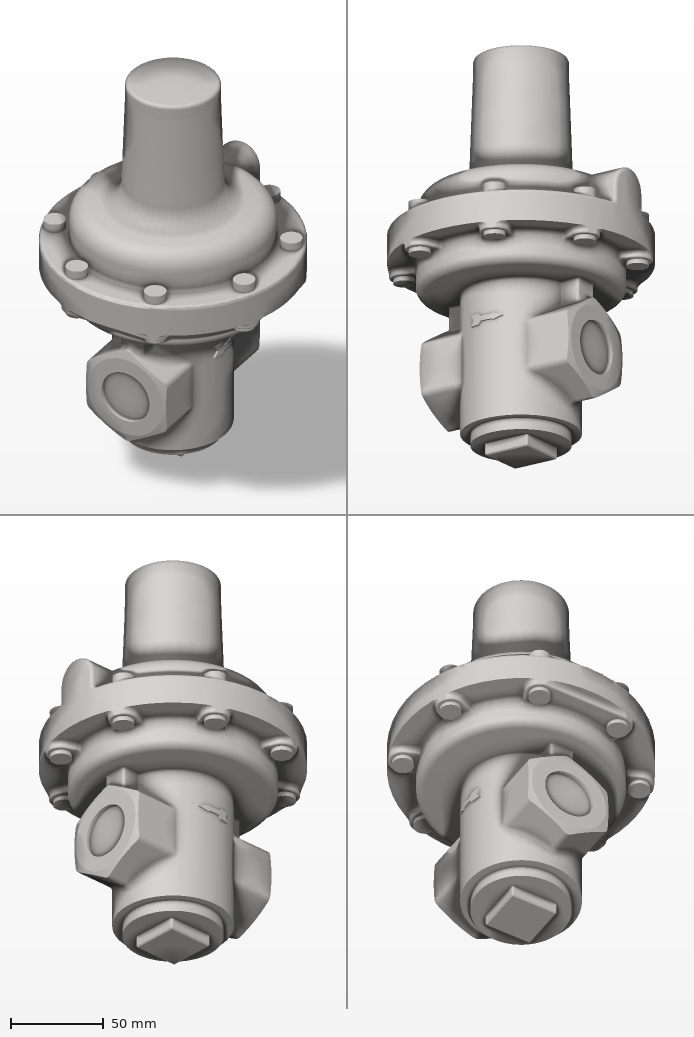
import cadquery as cq
import math


margin = 0.05

body_radius = 33.0
collar_radius = 27.5
plug_width = 28.3
plug_corner = 1.0
plug_chamfer = 0.7
collar_base_z = 6.6
body_base_z = 13.0
bowl_base_z = 92.5
underside_drop = 1.1
underside_z = bowl_base_z - underside_drop
bowl_root_fillet = 1.0

bowl_radius = 57.0
bowl_fillet = 4.5
flange_radius = 145.0 / 2
flange_base_z = 110.5
split_z = 118.8
flange_top_z = 128.6
casting_fillet = 2.0

dome_radius = 56.2
dome_arc_base_z = 140.3
dome_arc_radius = 11.5
dome_slope = math.radians(9)
shoulder_radius = 37.7
throat_radius = 27.9
throat_z = 165.0
tower_top_radius = 51.9 / 2
cap_base_z = 218.7
cap_corner_z = 225.3
crown_edge_radius = 24.0
crown_edge_z = 227.4
crown_z = 228.5

vent_radius = 12.5
vent_z = 138.7

bolt_count = 8
bolt_radius = 12.0 / 2
bolt_circle_radius = 64.7
bolt_base_z = 104.2
bolt_top_z = 134.0
bolt_spacing = 360 / bolt_count
first_bolt_angle = bolt_spacing / 2
pad_radius = 8.2
pad_base_z = 106.7
pad_rim_fillet = 1.0
pad_root_fillet = 1.8
blank_radius = flange_radius + 2 * pad_root_fillet
pad_web_y = bolt_circle_radius * math.cos(math.radians(first_bolt_angle)) + pad_radius
bolt_x = bolt_circle_radius * math.sin(math.radians(first_bolt_angle))

port_z = 53.0
port_across_flats = 50.5
port_corner_radius = port_across_flats / math.sqrt(3)
port_half_length = 49.8
port_corner_fillet = 3.9
port_face_radius = 23.5
port_root_fillet = 2.5
port_chamfer_slope = 0.3
port_hole_radius = 15.0
port_hole_depth = 2.7

rib_half_width = 7.3
rib_reach = 43.2
rib_corner_fillet = 1.4
rib_root_fillet = 1.5
rib_foot_z = port_z + port_corner_radius
rib_side_z = rib_foot_z - rib_half_width / math.sqrt(3)

arrow_z = 70.4
arrow_height = 1.25
arrow_radius = body_radius + arrow_height
arrow_tip = 10.7
arrow_head_back = 4.8
arrow_head_half = 2.0
arrow_shaft_half = 1.4
arrow_shaft_end = -2.7
arrow_tail_start = -4.0
arrow_tail_half = 3.2
arrow_tail_end = -10.0
arrow_notch = -7.8


def disc(radius, base_z, top_z):
    """Solid cylinder on the Z axis."""
    return cq.Workplane("XY").workplane(offset=base_z).circle(radius).extrude(top_z - base_z)


def round_edges(solid, radius, is_wanted):
    """Fillet every edge that satisfies the test."""
    edges = [edge for edge in solid.edges().vals() if is_wanted(edge)]
    return solid.newObject(edges).fillet(radius)


def lies_on_cylinder(edge, radius):
    """True if the ends and middle of an edge keep this distance from the Z axis."""
    points = edge.positions([0, 0.5, 1])
    return all(abs(math.hypot(p.x, p.y) - radius) < margin for p in points)


def lies_between(edge, low_z, high_z):
    """True if an edge stays within a height range."""
    box = edge.BoundingBox()
    return box.zmin > low_z - margin and box.zmax < high_z + margin


def make_housing():
    """Revolve the upper flange, dome and tower, and add the vent boss."""
    arc_sweep = math.pi / 2 - dome_slope
    arc_centre_radius = dome_radius - dome_arc_radius
    half_sweep = arc_sweep / 2
    arc_mid = (
        arc_centre_radius + dome_arc_radius * math.cos(half_sweep),
        dome_arc_base_z + dome_arc_radius * math.sin(half_sweep),
    )
    arc_end = (
        arc_centre_radius + dome_arc_radius * math.cos(arc_sweep),
        dome_arc_base_z + dome_arc_radius * math.sin(arc_sweep),
    )
    shoulder_z = arc_end[1] + (arc_end[0] - shoulder_radius) * math.tan(dome_slope)
    profile = (
        cq.Workplane("XZ")
        .moveTo(0, split_z)
        .lineTo(flange_radius, split_z)
        .lineTo(flange_radius, flange_top_z)
        .lineTo(dome_radius, flange_top_z)
        .lineTo(dome_radius, dome_arc_base_z)
        .threePointArc(arc_mid, arc_end)
        .lineTo(shoulder_radius, shoulder_z)
        .tangentArcPoint((throat_radius, throat_z), relative=False)
        .lineTo(tower_top_radius, cap_base_z)
        .lineTo(tower_top_radius, cap_corner_z)
        .tangentArcPoint((crown_edge_radius, crown_edge_z), relative=False)
        .lineTo(0, crown_z)
        .close()
    )
    housing = profile.revolve(360, (0, 0, 0), (0, 1, 0))

    vent = (
        cq.Workplane("XZ")
        .moveTo(-vent_radius, split_z)
        .lineTo(-vent_radius, vent_z)
        .threePointArc((0, vent_z + vent_radius), (vent_radius, vent_z))
        .lineTo(vent_radius, split_z)
        .close()
        .extrude(-flange_radius)
        .intersect(disc(flange_radius, split_z, crown_z))
    )
    vent = vent.cut(disc(shoulder_radius, split_z, crown_z))
    housing = housing.union(vent)

    def needs_rounding(edge):
        box = edge.BoundingBox()
        along_y = box.xlen < margin and box.zlen < margin
        on_flange_top = lies_between(edge, flange_top_z, flange_top_z)
        on_vent = lies_between(edge, flange_top_z, vent_z + vent_radius) and box.ymin > shoulder_radius
        return on_flange_top or on_vent and not along_y

    return round_edges(housing, casting_fillet, needs_rounding)


def make_bowl():
    """Diaphragm bowl with the bolt pads under the flange."""
    bowl = disc(bowl_radius, bowl_base_z, flange_base_z).faces("<Z").edges().fillet(bowl_fillet)
    bowl = bowl.union(disc(blank_radius, flange_base_z, split_z))
    underside = (
        cq.Workplane("XZ")
        .moveTo(0, underside_z)
        .lineTo(collar_radius, underside_z)
        .lineTo(bowl_radius - bowl_fillet, bowl_base_z)
        .lineTo(0, bowl_base_z)
        .close()
        .revolve(360, (0, 0, 0), (0, 1, 0))
    )
    bowl = bowl.union(underside)
    pad_height = flange_base_z - pad_base_z
    blank = cq.Workplane("XY").workplane(offset=pad_base_z)
    pads = blank.center(0, -pad_web_y / 2).rect(2 * bolt_x, pad_web_y).extrude(pad_height)
    for index in range(bolt_count):
        angle = first_bolt_angle + index * bolt_spacing
        arm = blank.center(bolt_circle_radius / 2, 0).rect(bolt_circle_radius, 2 * pad_radius)
        pad = arm.extrude(pad_height).union(
            blank.center(bolt_circle_radius, 0).circle(pad_radius).extrude(pad_height)
        )
        pads = pads.union(pad.rotate((0, 0, 0), (0, 0, 1), angle))
    bowl = bowl.union(pads)

    def is_pad_rim(edge):
        return lies_between(edge, pad_base_z, pad_base_z) and not lies_on_cylinder(edge, bowl_radius)

    def is_root(edge):
        on_wall = lies_on_cylinder(edge, bowl_radius)
        on_rim = lies_on_cylinder(edge, blank_radius)
        at_flange = lies_between(edge, flange_base_z, flange_base_z)
        return lies_between(edge, pad_base_z, flange_base_z) and (on_wall or at_flange and not on_rim)

    bowl = round_edges(bowl, pad_rim_fillet, is_pad_rim)
    bowl = round_edges(bowl, pad_root_fillet, is_root)
    return bowl.intersect(disc(flange_radius, underside_z, split_z))


def make_port(side):
    """Hexagonal port on one Y side, with its rib up to the bowl."""
    port = (
        cq.Workplane("XZ")
        .center(0, port_z)
        .transformed(rotate=(0, 0, 90))
        .polygon(6, 2 * port_corner_radius)
        .extrude(-port_half_length)
        .edges("|Y")
        .fillet(port_corner_fillet)
    )
    chamfer_drop = (port_corner_radius - port_face_radius) * port_chamfer_slope
    envelope = (
        cq.Workplane("XY")
        .moveTo(0, 0)
        .lineTo(port_corner_radius, 0)
        .lineTo(port_corner_radius, port_half_length - chamfer_drop)
        .lineTo(port_face_radius, port_half_length)
        .lineTo(0, port_half_length)
        .close()
        .revolve(360, (0, 0, 0), (0, 1, 0))
        .translate((0, 0, port_z))
    )
    port = port.intersect(envelope)
    rib = (
        cq.Workplane("XY")
        .workplane(offset=port_z)
        .center(0, rib_reach / 2)
        .rect(2 * rib_half_width, rib_reach)
        .extrude(bowl_base_z - port_z)
        .edges("|Z and >Y")
        .fillet(rib_corner_fillet)
    )
    port = port.union(rib)
    return port if side > 0 else port.mirror("XZ")


def make_port_hole(side):
    """Shallow round recess in a port face."""
    base_y = port_half_length - port_hole_depth if side > 0 else -port_half_length
    hole = cq.Workplane("XZ").center(0, port_z).circle(port_hole_radius).extrude(-port_hole_depth)
    return hole.translate((0, base_y, 0))


def make_arrows():
    """Flow arrows pointing to +Y, raised on both X sides of the body."""
    upper_half = [
        (arrow_tip, 0),
        (arrow_head_back, arrow_head_half),
        (arrow_head_back, arrow_shaft_half),
        (arrow_shaft_end, arrow_shaft_half),
        (arrow_tail_start, arrow_tail_half),
        (arrow_tail_end, arrow_tail_half),
        (arrow_notch, 0),
    ]
    lower_half = [(y, -z) for y, z in reversed(upper_half[1:-1])]
    outline = cq.Workplane("YZ").polyline(upper_half + lower_half).close()
    bars = outline.extrude(arrow_radius, both=True).translate((0, 0, arrow_z))
    return bars.intersect(disc(arrow_radius, body_base_z, underside_z))


def make_bolts():
    """Round bolts through the flange on the bolt circle."""
    return (
        cq.Workplane("XY")
        .workplane(offset=bolt_base_z)
        .polarArray(bolt_circle_radius, first_bolt_angle, 360, bolt_count)
        .circle(bolt_radius)
        .extrude(bolt_top_z - bolt_base_z)
    )


def make_plug():
    """Square plug under the body, with rounded corners."""
    plug = cq.Workplane("XY").rect(plug_width, plug_width).extrude(collar_base_z)
    return plug.edges("|Z").fillet(plug_corner).faces("<Z").edges().chamfer(plug_chamfer)


def make_lower_casting():
    """Barrel with both ports and ribs, blended together and into the bowl."""
    barrel = disc(body_radius, body_base_z, bowl_base_z)
    for side in (-1, 1):
        barrel = barrel.union(make_port(side))

    def is_port_root(edge):
        at_port = lies_between(edge, port_z - port_corner_radius, rib_foot_z)
        on_barrel = at_port and lies_on_cylinder(edge, body_radius)
        box = edge.BoundingBox()
        off_face = max(abs(box.ymin), abs(box.ymax)) < rib_reach + margin
        at_rib_foot = off_face and lies_between(edge, rib_side_z, rib_foot_z)
        return at_rib_foot or on_barrel

    def is_rib_root(edge):
        box = edge.BoundingBox()
        upright = box.xlen < margin and box.ylen < margin and box.zlen > rib_half_width
        return upright and lies_on_cylinder(edge, body_radius) and lies_between(edge, rib_side_z, bowl_base_z)

    def is_bowl_root(edge):
        return lies_between(edge, underside_z, bowl_base_z - 2 * margin)

    barrel = round_edges(barrel, port_root_fillet, is_port_root)
    barrel = round_edges(barrel, rib_root_fillet, is_rib_root)
    return round_edges(barrel.union(make_bowl()), bowl_root_fillet, is_bowl_root)


result = (
    make_housing()
    .union(make_lower_casting())
    .union(make_bolts())
    .union(disc(collar_radius, collar_base_z, body_base_z))
    .union(make_plug())
    .union(make_arrows())
)
for port_side in (-1, 1):
    result = result.cut(make_port_hole(port_side))